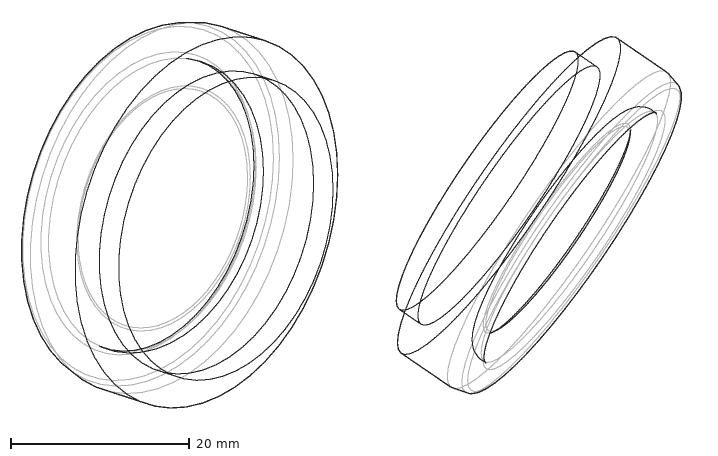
import cadquery as cq
import math

outer_radius = 42.9 / 2
boss_radius = 35.0 / 2
total_length = 12
boss_length = 3
body_length = total_length - boss_length

taper_length = 2.1
taper_angle = 15
face_radius = outer_radius - taper_length * math.tan(math.radians(taper_angle))

edge_fillet = 0.55
disc_depth = 2.27
lip_radius = boss_radius
groove_radius = 1.75
groove_center_depth = 1.0
groove_depth = groove_center_depth + groove_radius

center_distance = groove_radius + edge_fillet
center_offset = groove_center_depth - edge_fillet
groove_center_radius = lip_radius - math.sqrt(center_distance**2 - center_offset**2)
lip_share = edge_fillet / center_distance
tangent_depth = edge_fillet + lip_share * center_offset
tangent_radius = lip_radius + lip_share * (groove_center_radius - lip_radius)

groove_rise = disc_depth - groove_center_depth
disc_radius = groove_center_radius - math.sqrt(groove_radius**2 - groove_rise**2)


def make_turned_body():
    """Revolve the half section, drawn as (axial position, radius), about the X axis."""
    return (
        cq.Workplane("XY")
        .moveTo(disc_depth, 0)
        .lineTo(disc_depth, disc_radius)
        .threePointArc((groove_depth, groove_center_radius), (tangent_depth, tangent_radius))
        .tangentArcPoint((0, lip_radius), relative=False)
        .lineTo(0, face_radius)
        .lineTo(taper_length, outer_radius)
        .lineTo(body_length, outer_radius)
        .lineTo(body_length, boss_radius)
        .lineTo(total_length, boss_radius)
        .lineTo(total_length, 0)
        .close()
        .revolve(360, (0, 0, 0), (1, 0, 0))
    )


def round_circular_edge(body, position, radius):
    """Fillet the circular edge with the given axial position and radius."""
    tolerance = 0.005

    def is_wanted(edge):
        at_position = abs(edge.Center().x - position) < tolerance
        return at_position and abs(edge.radius() - radius) < tolerance

    return body.edges("%CIRCLE").filter(is_wanted).fillet(edge_fillet)


result = make_turned_body()
result = round_circular_edge(result, 0, face_radius)
result = round_circular_edge(result, disc_depth, disc_radius)